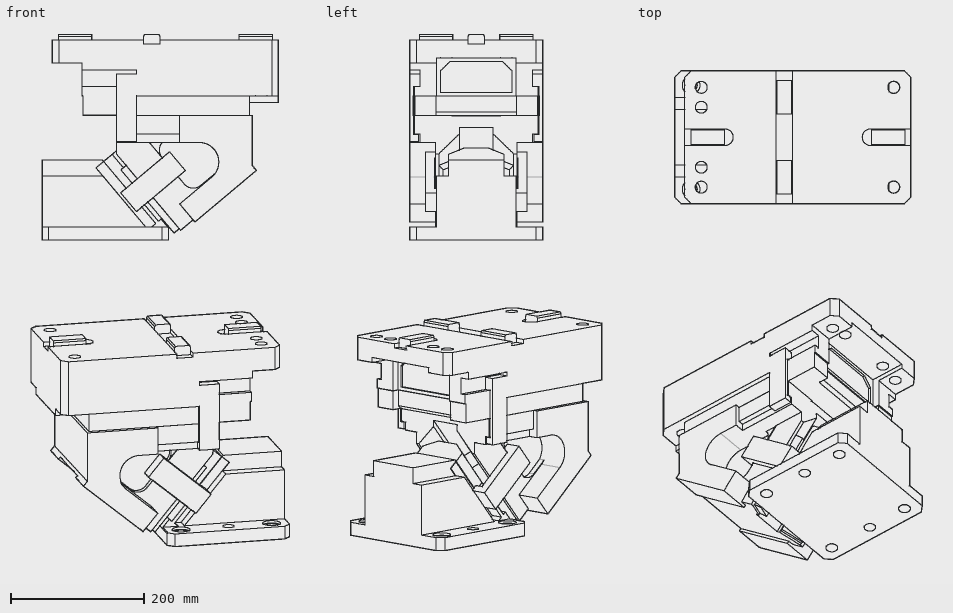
import cadquery as cq
import math

length = 355.0
width = 200.0
height = 309.0
half_width = width / 2
corner_chamfer = 10.0
bolt_diameter = 17.8
dowel_diameter = 17.0

tilt = 40.0
sin_tilt = math.sin(math.radians(tilt))
cos_tilt = math.cos(math.radians(tilt))
rail_x = 82.5
rail_z = 107.0
roof_angle = math.radians(32)
roof_slope = math.tan(roof_angle)

base_length = 190.0
base_thickness = 20.0
base_bolt_x = (25.0, 165.0)
base_dowel_x = 91.5
base_hole_y = 78.0
counterbore_diameter = 26.5
counterbore_depth = 3.5
block_half_width = 60.0
shoulder_z = 96.2
block_half_top = 42.0
block_top_z = 120.5
groove_rise = 15.0
groove_floor_y = 40.0
rail_start = -2.0
rail_travel = 119.5
wide_rail_start = 63.5
tail_rise = 25.5
roof_half_flat = 18.8

slider_left = 111.5
slider_right = 316.0
slider_top_z = 187.5
head_half_width = 92.5
head_bottom_z = 159.0
neck_half_width = 84.5
neck_bottom_z = 146.5
core_half_width = 61.5
core_rise = 37.0
core_travel = 151.5
vee_half_width = 56.0
vee_slot_half_width = 25.0
vee_slot_rise = 62.5
wear_plate_thickness = 12.0
wear_plate_start = 24.0
wear_plate_end = 148.5
top_relief_half_width = 36.2
top_relief_depth = 1.5
lobe_left = 206.3
lobe_travel = 156.0
lobe_low_rise = 61.5
lobe_high_rise = 182.0
window_travel = 120.5
window_radius = 29.5
pocket_start = 32.3
pocket_rise = 86.0
pocket_end_rise = 156.2
pocket_end = 119.3
relief_start = 12.5
relief_depth = 1.0
pocket_floor_y = 52.0
pocket_radius = 17.8
retainer_start = 50.5
retainer_end = 87.5
retainer_low_rise = 4.3
retainer_high_rise = 100.0
retainer_foot_y = 49.7
retainer_inner_y = 63.0
retainer_outer_y = 76.5

holder_left = 15.3
holder_top_z = 300.7
holder_bottom_z = 216.5
nose_bottom_z = 266.0
body_left = 59.5
undercut_top_z = 255.2
guide_top_z = 249.5
guide_right = 142.0
ledge_top_z = 230.8
hook_top_z = 158.5
hook_bottom_z = 148.0
hook_inner_y = 87.0
guide_inner_y = 94.5
slide_plate_left = 61.5
slide_plate_right = 311.7
back_lip_z = 206.3
spring_half_width = 59.5
spring_recess_top_z = 273.7
spring_wall_x = 71.0
spring_edge_chamfer = 5.0
spring_foot_half_width = 60.7
spring_foot_wall_x = 72.5
spring_pocket_half_width = 54.0
spring_pocket_low_z = 222.0
spring_pocket_high_z = 268.0
spring_pocket_chamfer = 14.2
spring_pocket_depth = 3.5
holder_bolt_x = (40.0, 329.0)
holder_bolt_y = 75.0
holder_dowel_y = 45.0
key_width = 25.0
key_length = 50.5
key_seat_z = 294.3
key_bevel_side = 1.5
key_bevel_height = 3.0
left_key_x = 24.5
right_key_x = 295.7
cross_key_x = 164.7
cross_key_y = 35.0
left_seat_end = 88.0
right_seat_end = 282.0


def block(x_range, y_range, z_range):
    """Box between two limits on each axis."""
    sizes = [high - low for low, high in (x_range, y_range, z_range)]
    return cq.Workplane("XY").box(*sizes, centered=False).translate((x_range[0], y_range[0], z_range[0]))


def centred_block(x_range, half, z_range):
    """Box that is symmetric about the middle plane."""
    return block(x_range, (-half, half), z_range)


def both_sides(shape):
    """The shape together with its mirror image across the middle plane."""
    return shape.union(shape.mirror("XZ"))


def tilted(travel, rise):
    """X and Z of a point given along and square to the rail."""
    return (rail_x + travel * sin_tilt + rise * cos_tilt, rail_z - travel * cos_tilt + rise * sin_tilt)


def travel_at_x(x, rise):
    return (x - rail_x - rise * cos_tilt) / sin_tilt


def travel_at_z(z, rise):
    return (rail_z + rise * sin_tilt - z) / cos_tilt


def side_prism(points, half):
    """X-Z outline extruded to both sides of the middle plane."""
    return cq.Workplane("XZ").polyline(points).close().extrude(half, both=True)


def rail_prism(points, start, end):
    """Outline of (Y, rise) points, extruded along the rail from start to end."""
    x, z = tilted(start, 0)
    plane = cq.Plane(origin=(x, 0, z), xDir=(0, 1, 0), normal=(sin_tilt, 0, -cos_tilt))
    return cq.Workplane(plane).polyline(points).close().extrude(end - start)


def mirrored_outline(points):
    """Closes a half outline with its mirror image in the first coordinate."""
    return points + [(-y, rise) for y, rise in reversed(points)]


def upright_holes(places, diameter):
    return cq.Workplane("XY").pushPoints(places).circle(diameter / 2).extrude(height)


def vee_rise(y):
    """Height of the slider's V face at a distance from the middle plane."""
    return core_rise + (vee_half_width - y) * roof_slope


def roof_rise(y):
    """Height of the rail's roof, which lies on the wear plates."""
    return vee_rise(y) - wear_plate_thickness / math.cos(roof_angle)


def driver_block():
    """Stepped block whose sloped end carries the rail."""
    parts = None
    for half, top in ((block_half_width, shoulder_z), (block_half_top, block_top_z)):
        step = side_prism(
            [
                (0, 0),
                (base_length, 0),
                tilted(travel_at_x(base_length, tail_rise), tail_rise),
                tilted(rail_travel, tail_rise),
                tilted(rail_travel, groove_rise),
                tilted(travel_at_z(top, groove_rise), groove_rise),
                (0, top),
            ],
            half,
        )
        parts = step if parts is None else parts.union(step)
    return parts


def driver_rail():
    """Roof-shaped rail: narrow at its upper end, full width where the retainers grip it."""
    rail = None
    for half, start in ((block_half_top, rail_start), (block_half_width, wide_rail_start)):
        section = mirrored_outline(
            [(half, groove_rise), (half, roof_rise(half)), (roof_half_flat, roof_rise(roof_half_flat))]
        )
        piece = rail_prism(section, start, rail_travel)
        rail = piece if rail is None else rail.union(piece)
    return rail


def driver_groove():
    """Side grooves that take the feet of the retainers."""
    return both_sides(
        rail_prism(
            [
                (groove_floor_y, 0),
                (half_width, 0),
                (half_width, groove_rise),
                (groove_floor_y, groove_rise),
            ],
            rail_start,
            rail_travel,
        )
    )


def make_driver():
    base = centred_block((0, base_length), half_width, (0, base_thickness))
    base = base.edges("|Z").chamfer(corner_chamfer)
    bolts = [(x, side * base_hole_y) for x in base_bolt_x for side in (1, -1)]
    dowels = [(base_dowel_x, side * base_hole_y) for side in (1, -1)]
    base = base.cut(upright_holes(bolts, bolt_diameter)).cut(upright_holes(dowels, dowel_diameter))
    counterbores = upright_holes(bolts, counterbore_diameter)
    base = base.cut(counterbores.translate((0, 0, base_thickness - counterbore_depth)))
    body = driver_block().union(driver_rail()).cut(driver_groove()).union(base)
    clearance = rail_prism(
        mirrored_outline([(half_width, tail_rise), (half_width, core_rise)]), rail_travel, core_travel
    )
    return body.cut(clearance)


def slider_core():
    """Middle web whose lower edge follows the rail."""
    return side_prism(
        [
            (slider_left, slider_top_z),
            (slider_right, slider_top_z),
            tilted(travel_at_x(slider_right, lobe_high_rise), lobe_high_rise),
            tilted(core_travel, lobe_high_rise),
            tilted(core_travel, core_rise),
            tilted(travel_at_x(slider_left, core_rise), core_rise),
        ],
        core_half_width,
    )


def vee_cut():
    """V-shaped underside with a central slot, straddling the rail."""
    return rail_prism(
        mirrored_outline(
            [
                (vee_half_width, core_rise),
                (vee_slot_half_width, vee_rise(vee_slot_half_width)),
                (vee_slot_half_width, vee_slot_rise),
            ]
        ),
        travel_at_x(0, core_rise),
        core_travel,
    )


def slider_pocket():
    """Side pocket that seats a retainer, with both corners next to the rail rounded."""
    x, z = tilted(0, 0)
    plane = cq.Plane(origin=(x, -pocket_floor_y, z), xDir=(sin_tilt, 0, -cos_tilt), normal=(0, -1, 0))
    bend = pocket_radius * (1 - math.sqrt(0.5))
    return (
        cq.Workplane(plane)
        .moveTo(pocket_start, pocket_end_rise)
        .lineTo(pocket_start, pocket_rise + pocket_radius)
        .threePointArc(
            (pocket_start + bend, pocket_rise + bend), (pocket_start + pocket_radius, pocket_rise)
        )
        .lineTo(pocket_end - pocket_radius, pocket_rise)
        .threePointArc(
            (pocket_end - bend, pocket_rise + bend), (pocket_end, pocket_rise + pocket_radius)
        )
        .lineTo(pocket_end, pocket_end_rise)
        .close()
        .extrude(half_width - pocket_floor_y)
    )


def pocket_relief():
    """Shallow step beside the pocket, level with its wall next to the rail."""
    floor_y = core_half_width - relief_depth
    section = [
        (floor_y, pocket_rise),
        (half_width, pocket_rise),
        (half_width, pocket_end_rise),
        (floor_y, pocket_end_rise),
    ]
    return rail_prism(section, relief_start, retainer_end)


def slider_lobe():
    """C-shaped outer lobe around a window with a round end."""
    centre_z = neck_bottom_z - window_radius
    centre_travel = window_travel - window_radius
    centre_x = rail_x + (centre_travel + (centre_z - rail_z) * cos_tilt) / sin_tilt
    middle = math.radians(tilt / 2)
    arc_middle = (centre_x + window_radius * math.cos(middle), centre_z + window_radius * math.sin(middle))
    arc_end = (centre_x + window_radius * sin_tilt, centre_z - window_radius * cos_tilt)
    outline = (
        cq.Workplane("XZ", origin=(0, -pocket_floor_y, 0))
        .moveTo(lobe_left, neck_bottom_z)
        .lineTo(lobe_left, slider_top_z)
        .lineTo(slider_right, slider_top_z)
        .lineTo(*tilted(travel_at_x(slider_right, lobe_high_rise), lobe_high_rise))
        .lineTo(*tilted(lobe_travel, lobe_high_rise))
        .lineTo(*tilted(lobe_travel, lobe_low_rise))
        .lineTo(*tilted(window_travel, lobe_low_rise))
        .lineTo(*arc_end)
        .threePointArc(arc_middle, (centre_x, neck_bottom_z))
        .close()
    )
    return outline.extrude(half_width - pocket_floor_y)


def wear_plate():
    """Plate on the V face, square to it along both long edges."""
    shift_y = wear_plate_thickness * math.sin(roof_angle)
    shift_rise = wear_plate_thickness * math.cos(roof_angle)
    outer = (vee_half_width, core_rise)
    inner = (vee_slot_half_width, vee_rise(vee_slot_half_width))
    section = [outer, inner] + [(y - shift_y, rise - shift_rise) for y, rise in (inner, outer)]
    return rail_prism(section, wear_plate_start, wear_plate_end)


def retainer():
    """C-shaped clamp: a tab in the slider's pocket, a leg, and a foot in the driver's groove."""
    section = [
        (pocket_floor_y, retainer_high_rise),
        (retainer_outer_y, retainer_high_rise),
        (retainer_outer_y, retainer_low_rise),
        (retainer_foot_y, retainer_low_rise),
        (retainer_foot_y, groove_rise),
        (retainer_inner_y, groove_rise),
        (retainer_inner_y, pocket_rise),
        (pocket_floor_y, pocket_rise),
    ]
    return rail_prism(section, retainer_start, retainer_end)


def make_slider():
    span = (slider_left, slider_right)
    body = slider_core().cut(both_sides(slider_pocket().union(pocket_relief())))
    body = body.union(centred_block(span, neck_half_width, (neck_bottom_z, slider_top_z)))
    body = body.union(centred_block(span, head_half_width, (head_bottom_z, slider_top_z)))
    top_relief = centred_block(
        (slider_left, lobe_left), top_relief_half_width, (slider_top_z - top_relief_depth, slider_top_z)
    )
    body = body.cut(top_relief).cut(vee_cut())
    for side_part in (slider_lobe(), wear_plate(), retainer()):
        body = body.union(both_sides(side_part))
    return body


def holder_plate():
    """Chamfered top block with a thin nose, and the slide plate under it."""
    plate = centred_block((holder_left, length), half_width, (holder_bottom_z, holder_top_z))
    plate = plate.edges("|Z").chamfer(corner_chamfer)
    plate = plate.cut(centred_block((0, body_left), half_width, (0, nose_bottom_z)))
    undercut = block(
        (body_left, guide_right), (neck_half_width, half_width), (holder_bottom_z, undercut_top_z)
    )
    plate = plate.cut(both_sides(undercut))
    ledge = centred_block((body_left, guide_right), head_half_width, (holder_bottom_z, ledge_top_z))
    slide_plate = centred_block(
        (slide_plate_left, slide_plate_right), head_half_width, (slider_top_z, holder_bottom_z)
    )
    back_lip = centred_block((slide_plate_right, length), spring_half_width, (back_lip_z, holder_bottom_z))
    return plate.union(ledge).union(slide_plate).union(back_lip)


def spring_recess():
    """Open recess under the nose, with a shallow chamfered pocket in its end wall."""
    recess = centred_block(
        (0, spring_wall_x), spring_half_width, (holder_bottom_z, spring_recess_top_z)
    )
    foot = side_prism(
        [
            (0, slider_top_z),
            (spring_foot_wall_x + spring_edge_chamfer, slider_top_z),
            (spring_foot_wall_x, slider_top_z + spring_edge_chamfer),
            (spring_foot_wall_x, holder_bottom_z),
            (0, holder_bottom_z),
        ],
        spring_foot_half_width,
    )
    pocket = centred_block(
        (spring_wall_x, spring_wall_x + spring_pocket_depth),
        spring_pocket_half_width,
        (spring_pocket_low_z, spring_pocket_high_z),
    )
    return recess.union(foot).union(pocket.edges("|X and >Z").chamfer(spring_pocket_chamfer))


def guide():
    """Side guide hooked under the slider's head."""
    outline = [
        (neck_half_width, guide_top_z),
        (half_width, guide_top_z),
        (half_width, hook_bottom_z),
        (hook_inner_y, hook_bottom_z),
        (hook_inner_y, hook_top_z),
        (guide_inner_y, hook_top_z),
        (guide_inner_y, ledge_top_z),
        (neck_half_width, ledge_top_z),
    ]
    section = cq.Workplane("YZ", origin=(slider_left, 0, 0)).polyline(outline).close()
    return section.extrude(guide_right - slider_left)


def key(centre, direction):
    """Key with bevelled long edges, standing in its seat along the X or Y direction."""
    half = key_width / 2
    outline = [
        (half, key_seat_z),
        (half, height - key_bevel_height),
        (half - key_bevel_side, height),
    ]
    plane = "YZ" if direction == "X" else "XZ"
    bar = cq.Workplane(plane).polyline(mirrored_outline(outline)).close()
    return bar.extrude(key_length / 2, both=True).translate((*centre, 0))


def key_seats():
    """Two round-ended seats from the ends and one seat across the top."""
    half = key_width / 2
    seats = centred_block((cross_key_x - half, cross_key_x + half), half_width, (key_seat_z, holder_top_z))
    for open_end, round_end in ((0, left_seat_end - half), (length, right_seat_end + half)):
        x_range = (min(open_end, round_end), max(open_end, round_end))
        seats = seats.union(centred_block(x_range, half, (key_seat_z, holder_top_z)))
        tip = cq.Workplane("XY", origin=(round_end, 0, key_seat_z)).circle(half)
        seats = seats.union(tip.extrude(holder_top_z - key_seat_z))
    return seats


def make_holder():
    body = holder_plate().cut(spring_recess()).union(both_sides(guide())).cut(key_seats())
    for x in (left_key_x, right_key_x):
        body = body.union(key((x + key_length / 2, 0), "X"))
    for side in (1, -1):
        body = body.union(key((cross_key_x, side * (cross_key_y + key_length / 2)), "Y"))
    bolts = [(x, side * holder_bolt_y) for x in holder_bolt_x for side in (1, -1)]
    dowels = [(holder_bolt_x[0], side * holder_dowel_y) for side in (1, -1)]
    return body.cut(upright_holes(bolts + dowels, bolt_diameter))


driver = make_driver()
slider = make_slider()
holder = make_holder()

result = cq.Compound.makeCompound([driver.solids().val(), slider.solids().val(), holder.solids().val()])